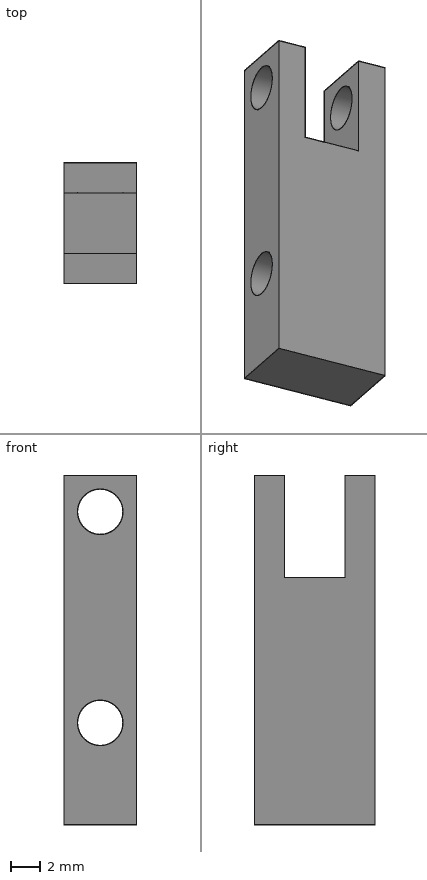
import cadquery as cq

width = 5.0
depth = 8.3
height = 24.0

slot_width = depth / 2
slot_depth = 7.0

hole_diameter = 3.1
upper_hole_z = height - width / 2
lower_hole_z = 7.0


def cross_hole(z):
    """Cylinder along Y, on the block's centre plane at height z."""
    return (
        cq.Workplane("XZ", origin=(0, 0, z))
        .circle(hole_diameter / 2)
        .extrude(depth, both=True)
    )


result = cq.Workplane("XY").box(width, depth, height, centered=(True, True, False))

slot = (
    cq.Workplane("XY", origin=(0, 0, height - slot_depth))
    .box(width, slot_width, slot_depth, centered=(True, True, False))
)
result = result.cut(slot)

for hole_z in (upper_hole_z, lower_hole_z):
    result = result.cut(cross_hole(hole_z))